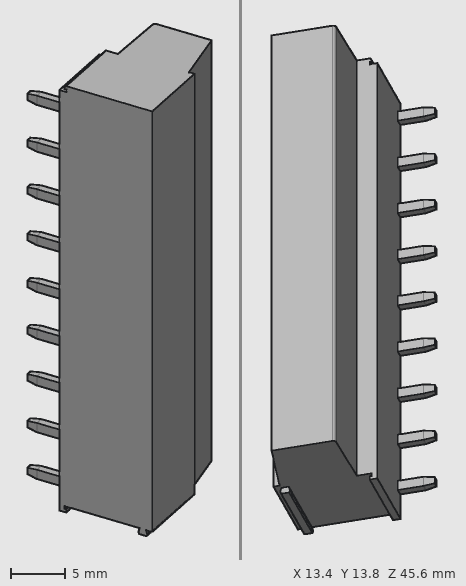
import cadquery as cq

total_height = 45.6
total_depth = 13.8
total_width = 13.35
pole_count = 9
hook_height = 0.65
body_width = 9.85

left_step_y = 7.4
right_step_y = 7.8
tower_left_foot = 1.95
tower_left_top = 2.1
tower_right_foot = 9.25
tower_right_top = 8.2
tower_edge_radius = 0.27

hook_width = 0.75
hook_neck = 0.55
hook_lip = 0.35
lip_chamfer_width = 0.15
lip_chamfer_height = 0.25

knob_inset = 1.0
knob_depth = left_step_y
knob_neck_width = 0.7
knob_width = 0.95
knob_tip_width = 0.78
knob_bulge_height = 0.25

first_pin_z = 3.1
pin_row_length = 40.0
pin_inset = 0.1
pin_depth = 0.8
pin_height = 1.0
pin_tip_depth = 0.6
pin_tip_height = 0.7
pin_taper = 1.05

body_height = total_height - hook_height
pitch = pin_row_length / (pole_count - 1)
pin_length = total_width - body_width


def along_y(points, depth):
    """Extrude an X-Z outline from the front face toward +Y."""
    return cq.Workplane("XZ").polyline(points).close().extrude(-depth)


def make_housing():
    outline = [
        (0, 0),
        (body_width, 0),
        (body_width, right_step_y),
        (tower_right_foot, right_step_y),
        (tower_right_top, total_depth),
        (tower_left_top, total_depth),
        (tower_left_foot, left_step_y),
        (0, left_step_y),
    ]
    base = cq.Workplane("XY", origin=(0, 0, hook_height))
    block = base.polyline(outline).close().extrude(body_height)
    edge_middle = (tower_left_top, total_depth, hook_height + body_height / 2)
    rounded_edge = block.edges(cq.NearestToPointSelector(edge_middle))
    return rounded_edge.fillet(tower_edge_radius)


def make_hook():
    outline = [
        (0, 0),
        (hook_width, 0),
        (hook_width, hook_lip),
        (hook_neck, hook_lip),
        (hook_neck, hook_height),
        (0, hook_height),
    ]
    return along_y(outline, left_step_y)


def make_notch():
    top = total_height
    outline = [
        (0, top),
        (hook_neck + lip_chamfer_width, top),
        (hook_neck, top - lip_chamfer_height),
        (hook_neck, top - hook_lip),
        (hook_width, top - hook_lip),
        (hook_width, top - hook_height),
        (0, top - hook_height),
    ]
    return along_y(outline, left_step_y)


def make_knob():
    middle = body_width - knob_inset
    half_profile = [
        (knob_tip_width / 2, 0),
        (knob_width / 2, knob_bulge_height),
        (knob_neck_width / 2, hook_height),
    ]
    right_side = [(middle + x, z) for x, z in half_profile]
    left_side = [(middle - x, z) for x, z in reversed(half_profile)]
    return along_y(right_side + left_side, knob_depth)


def make_pin(z):
    shank_length = pin_length - pin_taper
    base = cq.Workplane("YZ", origin=(0, pin_inset + pin_depth / 2, z))
    shank = base.rect(pin_depth, pin_height).extrude(-shank_length)
    tip = (
        base.workplane(offset=-shank_length)
        .rect(pin_depth, pin_height)
        .workplane(offset=-pin_taper)
        .rect(pin_tip_depth, pin_tip_height)
        .loft(ruled=True)
    )
    return shank.union(tip)


result = make_housing().cut(make_notch()).union(make_hook()).union(make_knob())
for pole in range(pole_count):
    result = result.union(make_pin(first_pin_z + pole * pitch))